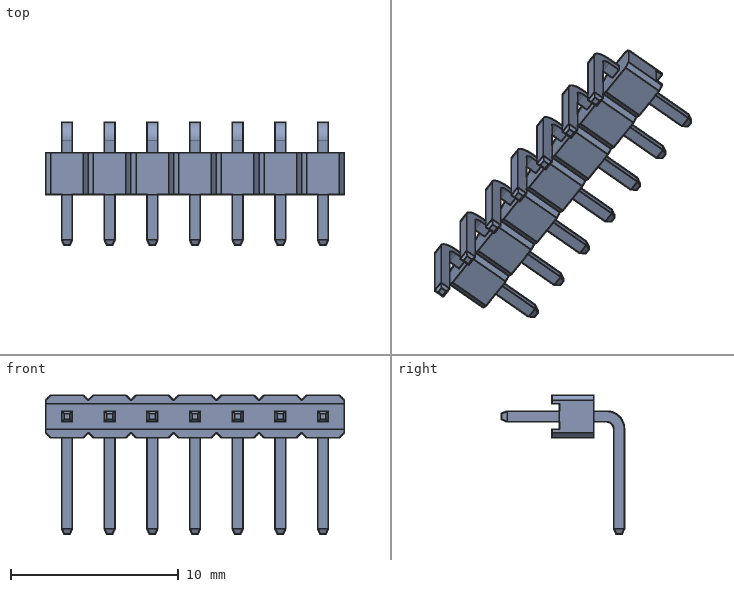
import cadquery as cq
import math

PIN_COUNT = 7
PITCH = 2.54
ROW_LENGTH = PIN_COUNT * PITCH

BODY_DEPTH = 2.5
BODY_HEIGHT = PITCH
NOTCH = 0.3
CHANNEL_DEPTH = 0.44
CHANNEL_HEIGHT = 1.5

PIN_SIZE = 0.65
BEND_RADIUS = 0.75
CONTACT_LENGTH = 3.0
TAIL_REACH = 1.5
TAIL_DROP = 7.0
TIP_LENGTH = 0.33
TIP_INSET = 0.15
TIP_TAPER = math.degrees(math.atan2(TIP_INSET, TIP_LENGTH))

HALF_PIN = PIN_SIZE / 2
BEND_INNER_RADIUS = BEND_RADIUS - HALF_PIN
BEND_OUTER_RADIUS = BEND_RADIUS + HALF_PIN
BODY_FRONT = -BODY_DEPTH / 2
BODY_BACK = BODY_DEPTH / 2
CONTACT_SHOULDER = BODY_FRONT - CONTACT_LENGTH + TIP_LENGTH
TAIL_SHOULDER = -TAIL_DROP + TIP_LENGTH
TAIL_AXIS = BODY_BACK + TAIL_REACH
TAIL_BACK = TAIL_AXIS + HALF_PIN


def body_segment(x):
    """One pitch of the body, with its four edges along Y chamfered."""
    block = cq.Workplane("XY").box(PITCH, BODY_DEPTH, BODY_HEIGHT)
    return block.edges("|Y").chamfer(NOTCH).translate((x, 0, 0))


def front_channel():
    """Full-length recess across the front face of the body."""
    center_y = BODY_FRONT + CHANNEL_DEPTH / 2
    return cq.Workplane("XY").box(ROW_LENGTH, CHANNEL_DEPTH, CHANNEL_HEIGHT).translate((0, center_y, 0))


def pin_shaft():
    """Bent square bar between the shoulders of the two tips, centred on x = 0."""
    bend_y = TAIL_AXIS - BEND_RADIUS
    bend_z = -BEND_RADIUS
    diagonal = math.cos(math.radians(45))
    outer_mid = (bend_y + BEND_OUTER_RADIUS * diagonal, bend_z + BEND_OUTER_RADIUS * diagonal)
    inner_mid = (bend_y + BEND_INNER_RADIUS * diagonal, bend_z + BEND_INNER_RADIUS * diagonal)
    return (
        cq.Workplane("YZ")
        .moveTo(CONTACT_SHOULDER, HALF_PIN)
        .lineTo(bend_y, HALF_PIN)
        .threePointArc(outer_mid, (TAIL_BACK, bend_z))
        .lineTo(TAIL_BACK, TAIL_SHOULDER)
        .lineTo(TAIL_AXIS - HALF_PIN, TAIL_SHOULDER)
        .lineTo(TAIL_AXIS - HALF_PIN, bend_z)
        .threePointArc(inner_mid, (bend_y, -HALF_PIN))
        .lineTo(CONTACT_SHOULDER, -HALF_PIN)
        .close()
        .extrude(HALF_PIN, both=True)
    )


def tapered_tip(shoulder, direction):
    """Pyramid-shaped pin end growing from the shoulder point along the direction."""
    base = cq.Workplane(cq.Plane(origin=shoulder, xDir=(1, 0, 0), normal=direction))
    return base.rect(PIN_SIZE, PIN_SIZE).extrude(TIP_LENGTH, taper=TIP_TAPER)


def bent_pin():
    """Complete pin with both tips, centred on x = 0."""
    contact_tip = tapered_tip((0, CONTACT_SHOULDER, 0), (0, -1, 0))
    tail_tip = tapered_tip((0, TAIL_AXIS, TAIL_SHOULDER), (0, 0, -1))
    return pin_shaft().union(contact_tip).union(tail_tip)


pin_positions = [(i - (PIN_COUNT - 1) / 2) * PITCH for i in range(PIN_COUNT)]

body = body_segment(pin_positions[0])
for x in pin_positions[1:]:
    body = body.union(body_segment(x))
body = body.cut(front_channel()).clean()

pin = bent_pin()
result = body
for x in pin_positions:
    result = result.union(pin.translate((x, 0, 0)))